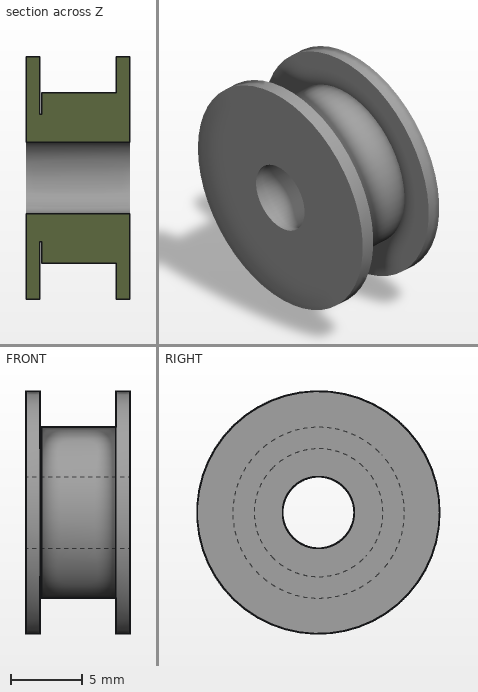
import cadquery as cq

flange_diameter = 17.0
drum_diameter = 12.0
neck_diameter = 9.0
bore_diameter = 5.0

total_width = 7.3
flange_width = 1.0
neck_width = 0.1
drum_width = total_width - 2 * flange_width - neck_width


def disc(start_x, width, diameter):
    """Solid disc on the X axis, growing toward +X from start_x."""
    return cq.Workplane("YZ", origin=(start_x, 0, 0)).circle(diameter / 2).extrude(width)


first_flange_x = -total_width / 2
neck_x = first_flange_x + flange_width
drum_x = neck_x + neck_width
second_flange_x = drum_x + drum_width

spool = (
    disc(first_flange_x, flange_width, flange_diameter)
    .union(disc(neck_x, neck_width, neck_diameter))
    .union(disc(drum_x, drum_width, drum_diameter))
    .union(disc(second_flange_x, flange_width, flange_diameter))
)

result = spool.cut(disc(first_flange_x, total_width, bore_diameter))